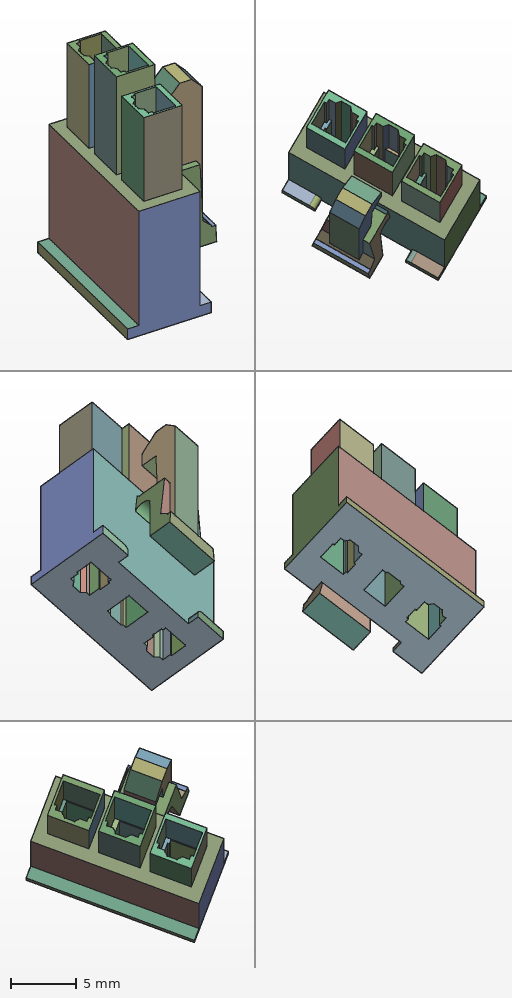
import cadquery as cq

width = 13.8
overall_depth = 10.4
body_depth = 5.44
body_top = 11.54
flange_overhang = 0.99
flange_height = 0.99
flange_gap = 8.0
flange_corner_radius = 0.5

tower_pitch = 4.2
tower_size = 3.4
tower_center_y = body_depth / 2
outer_tower_top = 19.28
middle_tower_top = 20.6

cavity_back = 3.95
cavity_step = 2.0
cavity_front = 1.65
cavity_half_width = 1.5
cavity_front_half_width = 1.3
key_front = 1.3
key_half_width = 0.72
key_tip_half_width = 0.41

passage_back = 3.87
passage_half_width = 1.07
middle_passage_front = 1.52
relief_half_width = 1.22
outer_relief_front = 2.4
inner_relief_front = 2.62
inner_relief_back = 3.56

latch_bottom = 3.03
latch_top = 10.15
latch_bottom_half_width = 2.55
latch_top_half_width = 1.92
latch_outer_y = 8.3
latch_root_chamfer = 0.25
pad_outer_y = overall_depth - flange_overhang
pad_top = 4.47
pad_slope_end_y = 9.05
pad_slope_bottom = 4.55
pad_slope_top = 5.23
pad_inner_y = 7.37
arch_outer_y = 6.92
arch_spring_z = 8.28
arch_crown_y = 6.22
arch_crown_z = 8.8
arch_root_z = 8.32

hook_width = 2.62
hook_outer_y = 8.85
hook_top = 17.82
hook_top_outer_y = 7.91
hook_top_inner_y = 6.85
hook_outer_bevel_z = 16.83
hook_nose_bevel_z = 16.27
hook_nose_y = body_depth
hook_catch_z = 14.8
hook_neck_y = 6.85
hook_root_y = 7.02


def block(x_size, y_min, y_max, z_min, z_max, x_center=0.0):
    """Box between the given Y and Z limits, centred on x_center."""
    box = cq.Workplane("XY").box(x_size, y_max - y_min, z_max - z_min, centered=(True, False, False))
    return box.translate((x_center, y_min, z_min))


def make_housing():
    body = block(width, 0, body_depth, 0, body_top)
    front_flange = block(width, -flange_overhang, 0, 0, flange_height)
    housing = body.union(front_flange)
    tab_width = (width - flange_gap) / 2
    for side in (-1, 1):
        tab_x = side * (width - tab_width) / 2
        tab = block(tab_width, body_depth, body_depth + flange_overhang, 0, flange_height, tab_x)
        inner_face = "<X" if side > 0 else ">X"
        tab = tab.faces(inner_face).edges(">Z").fillet(flange_corner_radius)
        housing = housing.union(tab)
    return housing


def mirrored_outline(right_side):
    """Closed outline from its right-hand points, listed back to front, mirrored about X = 0."""
    left_side = [(-x, y) for x, y in reversed(right_side)]
    return cq.Workplane("XY").polyline(right_side + left_side).close()


def make_cavity(top):
    outline = mirrored_outline([
        (cavity_half_width, cavity_back),
        (cavity_half_width, cavity_step),
        (cavity_front_half_width, cavity_step),
        (cavity_front_half_width, cavity_front),
        (key_half_width, cavity_front),
        (key_tip_half_width, key_front),
    ])
    return outline.extrude(top - body_top).translate((0, 0, body_top))


def make_passage(key_end):
    """Narrow passage whose tapered front key is cut off at Y = key_end."""
    key_taper = (key_half_width - key_tip_half_width) / (cavity_front - key_front)
    key_end_half_width = key_tip_half_width + key_taper * (key_end - key_front)
    outline = mirrored_outline([
        (passage_half_width, passage_back),
        (passage_half_width, cavity_front),
        (key_half_width, cavity_front),
        (key_end_half_width, key_end),
    ])
    return outline.extrude(body_top)


def make_outer_passage(side):
    """Passage of an outer tower, with side reliefs; side is -1 for left and 1 for right."""
    outward = side * relief_half_width / 2
    outer_relief = block(relief_half_width, outer_relief_front, passage_back, 0, body_top, outward)
    inner_relief = block(relief_half_width, inner_relief_front, inner_relief_back, 0, body_top, -outward)
    return make_passage(key_front).union(outer_relief).union(inner_relief)


def make_latch_arm():
    profile = (
        cq.Workplane("YZ")
        .moveTo(body_depth, arch_root_z)
        .threePointArc((arch_crown_y, arch_crown_z), (arch_outer_y, arch_spring_z))
        .lineTo(pad_inner_y, latch_bottom)
        .lineTo(pad_outer_y, latch_bottom)
        .lineTo(pad_outer_y, pad_top)
        .lineTo(pad_slope_end_y, pad_top)
        .lineTo(pad_slope_end_y, pad_slope_bottom)
        .lineTo(latch_outer_y, pad_slope_top)
        .lineTo(latch_outer_y, latch_top)
        .lineTo(body_depth + latch_root_chamfer, latch_top)
        .lineTo(body_depth, latch_top + latch_root_chamfer)
        .close()
        .extrude(latch_bottom_half_width, both=True)
    )
    draft = (latch_bottom_half_width - latch_top_half_width) / (latch_top - latch_bottom)
    crest = latch_top + latch_root_chamfer
    crest_half_width = latch_top_half_width - draft * latch_root_chamfer
    drafted_sides = (
        cq.Workplane("XZ")
        .polyline([
            (-latch_bottom_half_width, latch_bottom),
            (latch_bottom_half_width, latch_bottom),
            (crest_half_width, crest),
            (-crest_half_width, crest),
        ])
        .close()
        .extrude(-pad_outer_y)
    )
    return profile.intersect(drafted_sides)


def make_hook_bar():
    points = [
        (hook_outer_y, pad_slope_bottom),
        (hook_outer_y, hook_outer_bevel_z),
        (hook_top_outer_y, hook_top),
        (hook_top_inner_y, hook_top),
        (hook_nose_y, hook_nose_bevel_z),
        (hook_nose_y, hook_catch_z),
        (hook_neck_y, hook_catch_z),
        (hook_root_y, latch_top),
        (latch_outer_y, pad_slope_bottom),
    ]
    return cq.Workplane("YZ").polyline(points).close().extrude(hook_width / 2, both=True)


result = make_housing().union(make_latch_arm()).union(make_hook_bar())

for position in (-1, 0, 1):
    tower_x = position * tower_pitch
    tower_top = middle_tower_top if position == 0 else outer_tower_top
    passage = make_passage(middle_passage_front) if position == 0 else make_outer_passage(position)
    tower_front = tower_center_y - tower_size / 2
    tower = block(tower_size, tower_front, tower_front + tower_size, body_top, tower_top, tower_x)
    opening = make_cavity(tower_top).union(passage).translate((tower_x, 0, 0))
    result = result.union(tower).cut(opening)